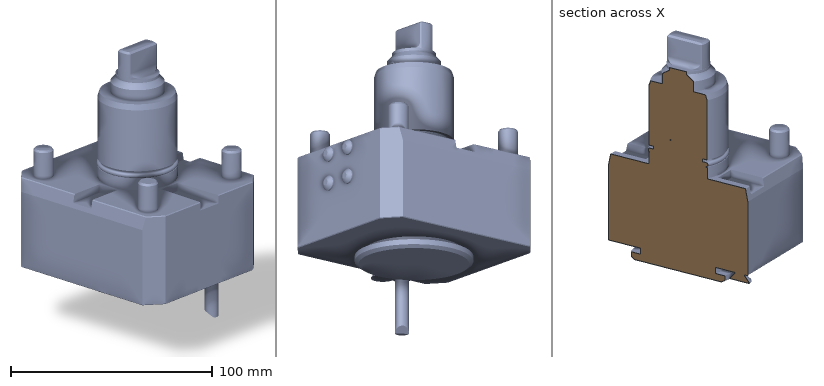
import cadquery as cq
import math


block_x = 96.0
block_y = 83.0
block_height = 47.0
corner_x = 7.4
corner_y = 9.0
bevel_height = 7.0
bevel_depth = 1.45
edge_break = 0.4

slot_width = 12.0
slot_mouth_width = 13.4
slot_depth = 4.4
slot_inner = 21.4

stud_diameter = 10.0
stud_height = 14.8
stud_chamfer_height = 1.0
stud_chamfer_depth = 0.8
stud_x = 35.0
stud_y = 31.0

plug_diameter = 12.4
plug_x = 36.0
plug_y = -18.2
plug_depth = 5.0
cover_diameter = 22.4
cover_z = -11.9
cover_depth = 3.0

screw_diameter = 7.6
screw_flat_diameter = 3.2
screw_rim = 0.8
screw_height = 2.5
screw_pitch = 15.0

neck_diameter = 40.0
groove_diameter = 35.2
ring_diameter = 40.56
ring_bottom = 6.1
ring_top = 8.6
ring_round = 1.2
sleeve_diameter = 39.8
sleeve_bottom = 9.9
sleeve_top = 45.1
sleeve_chamfer_height = 2.9
sleeve_chamfer_depth = 0.9

shaft_diameter = 27.0
cone_bottom = 50.5
cone_top = 53.4
tip_diameter = 22.0
shoulder_top = 54.9
key_top = 69.0
key_thickness = 8.0
key_half_width = 10.95
key_side_chamfer = 0.5
key_top_chamfer = 0.9
root_radius = 2.9
root_half_length_inner = 9.6
root_half_length_outer = 5.2
pin_diameter = 4.0
pin_chamfer = 0.5
pin_z = 46.4
pin_reach = 14.5

hub_diameter = 48.9
hub_height = 3.0
flange_diameter = 59.0
flange_foot_diameter = 55.0
flange_height = 4.0
flange_chamfer_height = 1.4

cable_diameter = 7.0
cable_x = 19.3
cable_y = 33.5
cable_bottom = -78.46
cable_cut_height = 0.25
cable_cut_slope_x = 0.44
cable_cut_slope_y = 0.67
gland_diameter = 12.0
gland_height = 4.0
button_diameter = 12.0
button_neck_diameter = 5.6
button_rim = 0.3
button_height = 4.0
button_x = 9.6
button_y = 36.49

overlap = 1.0


def cylinder(diameter, bottom, top, x=0.0, y=0.0):
    base = cq.Workplane("XY", origin=(x, y, bottom))
    return base.circle(diameter / 2).extrude(top - bottom)


def revolved(points):
    """Turn a closed (radius, z) outline about the Z axis."""
    return cq.Workplane("XZ").polyline(points).close().revolve(360, (0, 0), (0, 1))


def make_block():
    """Housing with chamfered corners, sloped upper strips and lightly broken edges."""
    half_x = block_x / 2
    half_y = block_y / 2
    outline = [
        (half_x, half_y - corner_y),
        (half_x - corner_x, half_y),
        (corner_x - half_x, half_y),
        (-half_x, half_y - corner_y),
        (-half_x, corner_y - half_y),
        (corner_x - half_x, -half_y),
        (half_x - corner_x, -half_y),
        (half_x, corner_y - half_y),
    ]
    block = cq.Workplane("XY").polyline(outline).close().extrude(-block_height)
    section = [
        (-half_y, -block_height),
        (half_y, -block_height),
        (half_y, -bevel_height),
        (half_y - bevel_depth, 0),
        (bevel_depth - half_y, 0),
        (-half_y, -bevel_height),
    ]
    envelope = cq.Workplane("YZ").polyline(section).close().extrude(half_x, both=True)
    block = block.intersect(envelope)
    return block.faces("<Z or >Z").edges().chamfer(edge_break)


def make_slots():
    """Two straight slots along Y and one on the +X side that widens outward."""
    floor = cq.Workplane("XY", origin=(0, 0, -slot_depth))
    length = block_y / 2 - slot_inner
    centre = slot_inner + length / 2
    straight = floor.pushPoints([(0, centre), (0, -centre)]).rect(slot_width, length).extrude(slot_depth)
    side = [
        (slot_inner, -slot_width / 2),
        (block_x / 2, -slot_mouth_width / 2),
        (block_x / 2, slot_mouth_width / 2),
        (slot_inner, slot_width / 2),
    ]
    return straight.union(floor.polyline(side).close().extrude(slot_depth))


def make_stud(x, y):
    radius = stud_diameter / 2
    profile = [
        (0, -overlap),
        (radius, -overlap),
        (radius, stud_height - stud_chamfer_height),
        (radius - stud_chamfer_depth, stud_height),
        (0, stud_height),
    ]
    return revolved(profile).translate((x, y, 0))


def make_screw(y, z):
    """Domed screw head pointing toward -X."""
    radius = screw_diameter / 2
    flat = screw_flat_diameter / 2
    rise = screw_height - screw_rim
    sink = (radius**2 - flat**2 - rise**2) / (2 * rise)
    mid_z = rise / 2
    mid_radius = math.sqrt(radius**2 + sink**2 - (sink + mid_z) ** 2)
    head = (
        cq.Workplane("XZ")
        .moveTo(0, -overlap)
        .lineTo(radius, -overlap)
        .lineTo(radius, screw_rim)
        .threePointArc((mid_radius, screw_rim + mid_z), (flat, screw_height))
        .lineTo(0, screw_height)
        .close()
        .revolve(360, (0, 0), (0, 1))
    )
    return head.rotate((0, 0, 0), (0, 1, 0), -90).translate((-block_x / 2, y, z))


def make_sleeve():
    """Neck, rounded ring and sleeve around a narrower core."""
    neck = cylinder(neck_diameter, -overlap, ring_bottom)
    core = cylinder(groove_diameter, 0, sleeve_bottom + overlap)
    ring = cylinder(ring_diameter, ring_bottom, ring_top).edges().fillet(ring_round)
    radius = sleeve_diameter / 2
    sleeve = revolved([
        (0, sleeve_bottom),
        (radius, sleeve_bottom),
        (radius, sleeve_top - sleeve_chamfer_height),
        (radius - sleeve_chamfer_depth, sleeve_top),
        (0, sleeve_top),
    ])
    return neck.union(core).union(ring).union(sleeve)


def make_key():
    """Flat drive key cut from a round bar, with hollow root fillets on both flat sides."""
    half = key_thickness / 2
    height = key_top - shoulder_top + overlap
    base = cq.Workplane("XY", origin=(0, 0, shoulder_top - overlap))
    key = base.circle(key_half_width).extrude(height)
    blade = base.rect(key_thickness, 2 * key_half_width).extrude(height)
    key = key.intersect(blade).edges("|Z").chamfer(key_side_chamfer)
    key = key.faces(">Z").edges().chamfer(key_top_chamfer)

    root_half = half + root_radius
    root_top = shoulder_top + root_radius
    sag = root_radius * (1 - math.sqrt(0.5))
    profile = (
        cq.Workplane("XZ")
        .moveTo(-root_half, shoulder_top)
        .threePointArc((-half - sag, shoulder_top + sag), (-half, root_top))
        .lineTo(half, root_top)
        .threePointArc((half + sag, shoulder_top + sag), (root_half, shoulder_top))
        .lineTo(root_half, shoulder_top - overlap)
        .lineTo(-root_half, shoulder_top - overlap)
        .close()
        .extrude(root_half_length_inner, both=True)
    )
    plan = [
        (half, root_half_length_inner),
        (-half, root_half_length_inner),
        (-root_half, root_half_length_outer),
        (-root_half, -root_half_length_outer),
        (-half, -root_half_length_inner),
        (half, -root_half_length_inner),
        (root_half, -root_half_length_outer),
        (root_half, root_half_length_outer),
    ]
    return key.union(profile.intersect(base.polyline(plan).close().extrude(height)))


def make_shaft():
    """Stepped shaft end with a marker pin on the -X side and the drive key."""
    shaft = revolved([
        (0, sleeve_top - overlap),
        (shaft_diameter / 2, sleeve_top - overlap),
        (shaft_diameter / 2, cone_bottom),
        (tip_diameter / 2, cone_top),
        (tip_diameter / 2, shoulder_top),
        (0, shoulder_top),
    ])
    pin = cq.Workplane("YZ", origin=(0, 0, pin_z)).circle(pin_diameter / 2).extrude(-pin_reach)
    pin = pin.faces("<X").edges().chamfer(pin_chamfer)
    return shaft.union(pin).union(make_key())


def make_flange():
    hub_bottom = -block_height - hub_height
    flange_bottom = hub_bottom - flange_height
    return revolved([
        (0, overlap - block_height),
        (hub_diameter / 2, overlap - block_height),
        (hub_diameter / 2, hub_bottom),
        (flange_diameter / 2, hub_bottom),
        (flange_diameter / 2, flange_bottom + flange_chamfer_height),
        (flange_foot_diameter / 2, flange_bottom),
        (0, flange_bottom),
    ])


def make_cable():
    """Cable with its gland, hanging from the underside of the housing."""
    cable = cylinder(cable_diameter, cable_bottom, overlap - block_height)

    plane = cq.Plane(
        origin=(0, 0, cable_bottom + cable_cut_height),
        xDir=(1, 0, -cable_cut_slope_x),
        normal=(cable_cut_slope_x, cable_cut_slope_y, 1),
    )
    trim_size = 4 * cable_diameter
    cable = cable.cut(cq.Workplane(plane).rect(trim_size, trim_size).extrude(-trim_size / 2))

    radius = gland_diameter / 2
    bulge = math.sqrt(0.5)
    inner = cable_diameter / 2
    gland = (
        cq.Workplane("XZ")
        .moveTo(0, overlap - block_height)
        .lineTo(radius, overlap - block_height)
        .lineTo(radius, -block_height)
        .threePointArc(
            (inner + (radius - inner) * bulge, -block_height - gland_height * bulge),
            (inner, -block_height - gland_height),
        )
        .lineTo(0, -block_height - gland_height)
        .close()
        .revolve(360, (0, 0), (0, 1))
    )
    return cable.union(gland).translate((cable_x, cable_y, 0))


def make_button():
    """Cone that widens downward from the underside of the housing."""
    bottom = -block_height - button_height
    profile = [
        (0, overlap - block_height),
        (button_neck_diameter / 2, overlap - block_height),
        (button_neck_diameter / 2, -block_height),
        (button_diameter / 2, bottom + button_rim),
        (button_diameter / 2, bottom),
        (0, bottom),
    ]
    return revolved(profile).translate((button_x, button_y, 0))


def add_flush_insert(body, insert):
    """Seat an insert in its own pocket so that its rim stays as an edge on the flush face."""
    return body.cut(insert, clean=False).union(insert, clean=False)


result = make_block().cut(make_slots())
for part in (make_sleeve(), make_shaft(), make_flange(), make_cable(), make_button()):
    result = result.union(part)
for x in (-stud_x, stud_x):
    for y in (-stud_y, stud_y):
        result = result.union(make_stud(x, y))

plug = cylinder(plug_diameter, -plug_depth, 0, plug_x, plug_y)
cover_plane = cq.Workplane("YZ", origin=(-block_x / 2, 0, cover_z))
cover = cover_plane.circle(cover_diameter / 2).extrude(cover_depth)
result = add_flush_insert(result, plug)
result = add_flush_insert(result, cover)
for y in (-screw_pitch / 2, screw_pitch / 2):
    for z in (cover_z - screw_pitch / 2, cover_z + screw_pitch / 2):
        result = result.union(make_screw(y, z), clean=False)